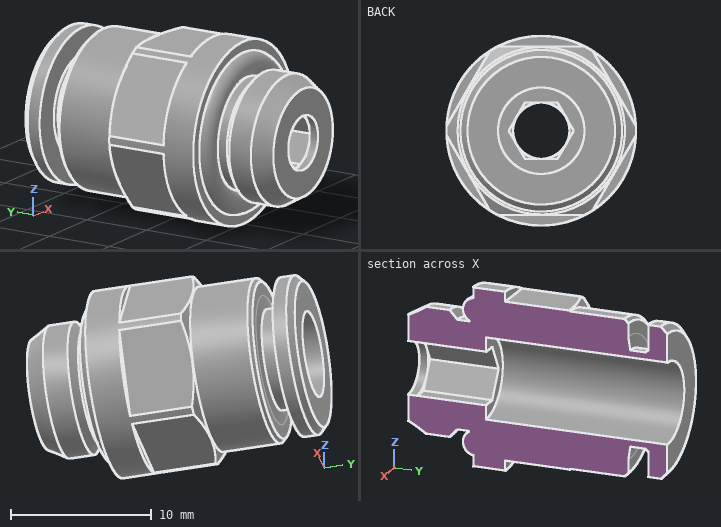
import cadquery as cq
import math


stub_length = 5.0
thread_radius = 9.6 / 2
stub_tip_radius = 8.0 / 2
stub_tip_angle = math.radians(30)
stub_tip_length = (thread_radius - stub_tip_radius) / math.tan(stub_tip_angle)
undercut_radius = 8.3 / 2
thread_end = -1.8
undercut_start = -1.2

ring_outer_radius = 11.9 / 2
ring_section_radius = 0.95
ring_center_radius = ring_outer_radius - ring_section_radius
ring_front = -0.8
ring_center_y = ring_front + ring_section_radius

body_radius = 11.9 / 2
body_end = 12.0
body_chamfer = 0.3

flange_radius = 13.5 / 2
flange_end = 2.5
hex_across_flats = 12.0
hex_end = 7.5
hex_chamfer_angle = math.radians(30)
hex_chamfer_length = (flange_radius - body_radius) * math.tan(hex_chamfer_angle)


cone_base_radius = 4.65
cone_height = 0.15
neck_radius = 7.3 / 2
neck_chamfer = 0.2
collar_radius = 11.5 / 2
collar_start = 13.5
collar_end = 15.0
collar_chamfer = 0.5

mouth_radius = 4.0 / 2
mouth_length = 0.7
key_across_flats = 4.0
tube_bore_radius = 6.15 / 2
tube_bore_start = 1.0


def revolve_about_y(points):
    """Solid of revolution about Y from (radius, y) points."""
    return cq.Workplane("XY").polyline(points).close().revolve(360, (0, 0, 0), (0, 1, 0))


def plane_at(y):
    """Workplane across the axis at height y, with +Y as its normal and X as its x direction."""
    return cq.Workplane(cq.Plane(origin=(0, y, 0), xDir=(1, 0, 0), normal=(0, 1, 0)))


def hexagon_prism(across_flats, start, end):
    """Hexagonal prism along Y with two corners on the X axis."""
    corner_diameter = across_flats / math.cos(math.radians(30))
    return plane_at(start).polygon(6, corner_diameter).extrude(end - start)


def make_stub():
    return revolve_about_y([
        (0, -stub_length),
        (stub_tip_radius, -stub_length),
        (thread_radius, -stub_length + stub_tip_length),
        (thread_radius, thread_end),
        (undercut_radius, undercut_start),
        (undercut_radius, 0),
        (0, 0),
    ])


def make_sealing_ring():
    section = cq.Workplane("XY").center(ring_center_radius, ring_center_y).circle(ring_section_radius)
    return section.revolve(360, (-ring_center_radius, 0, 0), (-ring_center_radius, 1, 0))


def make_flange_and_hexagon():
    """Round flange whose upper part is chamfered and milled down to wrench flats."""
    blank = revolve_about_y([
        (0, 0),
        (flange_radius, 0),
        (flange_radius, hex_end - hex_chamfer_length),
        (body_radius, hex_end),
        (0, hex_end),
    ])
    around_hexagon = plane_at(flange_end).circle(2 * flange_radius).extrude(hex_end - flange_end)
    milled_away = around_hexagon.cut(hexagon_prism(hex_across_flats, flange_end, hex_end))
    return blank.cut(milled_away)


def make_body_and_collar():
    return revolve_about_y([
        (0, flange_end),
        (body_radius, flange_end),
        (body_radius, body_end - body_chamfer),
        (body_radius - body_chamfer, body_end),
        (cone_base_radius, body_end),
        (neck_radius, body_end + cone_height),
        (neck_radius, collar_start - neck_chamfer),
        (neck_radius + neck_chamfer, collar_start),
        (collar_radius, collar_start),
        (collar_radius, collar_end - collar_chamfer),
        (collar_radius - collar_chamfer, collar_end),
        (0, collar_end),
    ])


def make_passage():
    mouth_end = -stub_length + mouth_length
    mouth = plane_at(-stub_length).circle(mouth_radius).extrude(mouth_length)
    key_socket = hexagon_prism(key_across_flats, mouth_end, tube_bore_start)
    tube_bore = plane_at(tube_bore_start).circle(tube_bore_radius).extrude(collar_end - tube_bore_start)
    return mouth.union(key_socket).union(tube_bore)


outside = make_stub().union(make_flange_and_hexagon())
outside = outside.union(make_body_and_collar()).union(make_sealing_ring())
result = outside.cut(make_passage())